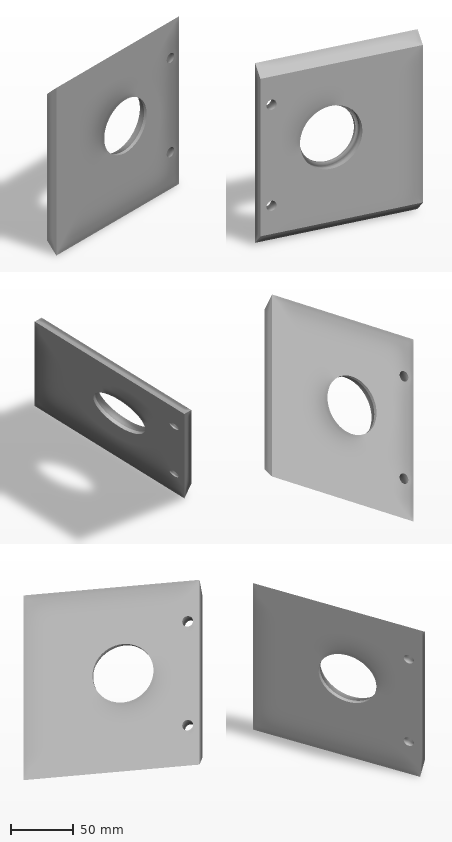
import cadquery as cq

thickness = 10.0
width = 146.0
height = 160.0
bevel = thickness

bore_y = 9.5
bore_z = 5.0
bore_diameter = 50.5
seat_diameter = 56.0
seat_depth = 7.0

hole_diameter = 9.0
hole_edge_distance = 10.0
hole_spacing = 90.0
hole_y = width / 2 - hole_edge_distance

front_x = -thickness / 2
back_x = thickness / 2


def cylinder_from_front(diameter, depth, y, z):
    """Cylinder running in +X from the -X face of the plate."""
    return cq.Workplane("YZ", origin=(front_x, y, z)).circle(diameter / 2).extrude(depth)


front_half_height = height / 2 - bevel
plate = (
    cq.Workplane("XZ")
    .polyline([
        (front_x, -front_half_height),
        (back_x, -height / 2),
        (back_x, height / 2),
        (front_x, front_half_height),
    ])
    .close()
    .extrude(width / 2, both=True)
)

plate = plate.cut(cylinder_from_front(bore_diameter, thickness, bore_y, bore_z))
plate = plate.cut(cylinder_from_front(seat_diameter, seat_depth, bore_y, bore_z))

for hole_z in (-hole_spacing / 2, hole_spacing / 2):
    plate = plate.cut(cylinder_from_front(hole_diameter, thickness, hole_y, hole_z))

result = plate